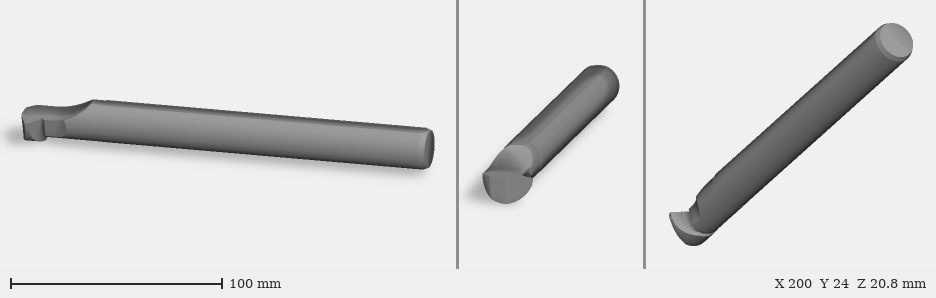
import cadquery as cq
import math

length = 200.0

shank_radius = 10.0
shank_start = 40.0
flat_height = 9.0
end_chamfer_length = 2.5
end_chamfer_depth = shank_radius - flat_height

neck_radius = 9.8
neck_start = 6.0
neck_center_y = shank_radius - neck_radius
neck_center_z = -0.2

head_radius = 11.8
head_center_y = shank_radius - head_radius
head_clearance = 5.0
head_corner = 4.2
head_top = 1.8
head_front_y = -1.8
facet_setback = 0.2
facet_width = 1.4
head_back_x = 12.8
head_back_y = -2.0
head_side_margin = 2.0

nose_y = -14.0
nose_left = 4.8
nose_right = 6.8
insert_center_x = (nose_left + nose_right) / 2
insert_half_width = 5.2
insert_middle_y = -4.5
insert_back_y = 5.5
insert_thickness = 3.8
insert_clearance = 5.0

rake_angle = 4.2
nose_height = 0.0

scoop_start = 15.2
scoop_radius = 27.0
scoop_sweep_radius = 32.0
scoop_axis_y = -1.0
relief_wall_y = -7.5
relief_lean = 14.0
notch_x = 11.2
notch_y = -5.4
relief_wall_start = 12.8
relief_wall_end = 18.4
relief_radius = 8.0
cutter_size = 40.0


def on_rake(shape):
    """Place a shape drawn with the rake face at Z = 0."""
    pivot = (0, nose_y, 0)
    return shape.rotate(pivot, (1, nose_y, 0), rake_angle).translate((0, 0, nose_height))


def round_bar(radius, start, end, center_y=0.0, center_z=0.0):
    plane = cq.Workplane("YZ", origin=(start, center_y, center_z))
    return plane.circle(radius).extrude(end - start)


def make_shank():
    return (
        cq.Workplane("XY")
        .moveTo(shank_start, 0)
        .lineTo(shank_start, shank_radius)
        .lineTo(length - end_chamfer_length, shank_radius)
        .lineTo(length, shank_radius - end_chamfer_depth)
        .lineTo(length, 0)
        .close()
        .revolve(360, (0, 0, 0), (1, 0, 0))
    )


def make_relief():
    """Side cut: a V notch, then a leaning flat wall that runs out along an arc."""
    relief = (
        cq.Workplane("XY", origin=(0, 0, -cutter_size / 2))
        .moveTo(nose_right, nose_y)
        .lineTo(notch_x, notch_y)
        .lineTo(relief_wall_start, relief_wall_y)
        .lineTo(relief_wall_end, relief_wall_y)
        .radiusArc((relief_wall_end + relief_radius, relief_wall_y - relief_radius), relief_radius)
        .lineTo(nose_right, relief_wall_y - relief_radius)
        .close()
        .extrude(cutter_size)
    )
    return relief.rotate((0, relief_wall_y, 0), (1, relief_wall_y, 0), relief_lean)


def make_neck():
    return round_bar(neck_radius, neck_start, shank_start, neck_center_y, neck_center_z)


def make_head():
    """Tapered block trimmed to the round of the head."""
    front_end_y = shank_radius - head_corner - facet_width
    front_top = nose_height + (front_end_y - nose_y) * math.tan(math.radians(rake_angle))
    front_x = -(head_top - front_top) * math.tan(math.radians(head_clearance))
    side_y = shank_radius + head_side_margin
    outline = [
        (front_x, head_front_y),
        (facet_setback, head_front_y - facet_width),
        (nose_left, nose_y),
        (nose_right, nose_y),
        (head_back_x, head_back_y),
        (head_back_x, side_y),
        (head_corner + head_side_margin, side_y),
        (facet_setback, shank_radius - head_corner),
        (front_x, front_end_y),
    ]
    plane = cq.Workplane("XY", origin=(0, 0, head_top))
    block = plane.polyline(outline).close().extrude(-(head_top + head_radius), taper=head_clearance)
    return block.intersect(round_bar(head_radius, 0, head_back_x, head_center_y))


def make_scoop():
    """Space above the rake face, rising behind it along an arc swept about an upright axis."""
    scoop = (
        cq.Workplane("XZ", origin=(scoop_start - scoop_sweep_radius, scoop_axis_y, 0))
        .lineTo(scoop_sweep_radius, 0)
        .radiusArc((scoop_sweep_radius + scoop_radius, scoop_radius), -scoop_radius)
        .lineTo(0, scoop_radius)
        .close()
        .revolve(360, (0, 0, 0), (0, 1, 0))
    )
    return on_rake(scoop)


def make_insert():
    outline = [
        (nose_left, nose_y),
        (nose_right, nose_y),
        (insert_center_x + insert_half_width, insert_middle_y),
        (insert_center_x, insert_back_y),
        (insert_center_x - insert_half_width, insert_middle_y),
    ]
    return on_rake(cq.Workplane("XY").polyline(outline).close().extrude(-insert_thickness, taper=insert_clearance))


def make_bar(insert):
    flat_plane = cq.Workplane("XY", origin=(length / 2, 0, flat_height))
    above_flat = flat_plane.rect(length + cutter_size, cutter_size).extrude(cutter_size)
    bar = make_shank().union(make_neck()).union(make_head())
    return bar.cut(above_flat).cut(make_relief()).cut(make_scoop()).cut(insert)


insert = make_insert()
bar = make_bar(insert)

result = cq.Compound.makeCompound([bar.val(), insert.val()])